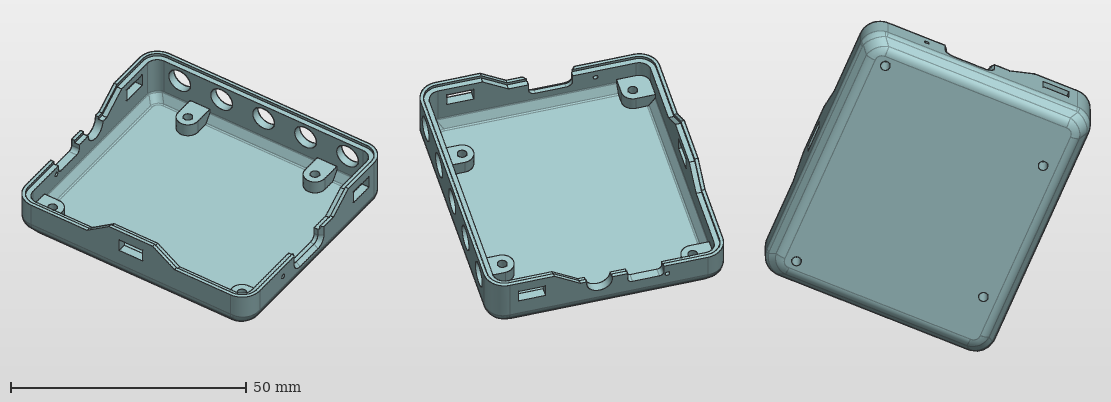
import cadquery as cq
import math

LENGTH = 59.95
WIDTH = 52.65
HEIGHT = 13.7
WALL = 2.0
CORNER_RADIUS = 4.5

BAND_HEIGHT = 3.4
BAND_INSET = 2.5
OUTER_BLEND = 2.5
INNER_BLEND = 0.5

LOW_RIM_Z = 9.8
LIP_WIDTH = 0.8
LIP_DROP = 0.65
FRONT_TAB_TOP = 11.15
FRONT_TAB_BASE = 22.35
SIDE_SLOPE_TOP_Y = 12.0
SIDE_SLOPE_BASE_Y = 6.3

WINDOW_WIDTH = 5.95
WINDOW_HEIGHT = 3.0
WINDOW_Z = 9.65
SIDE_WINDOW_Y = 16.9

PORT_DIAMETER = 5.5
PORT_Z = 9.35
PORT_PITCH = 10.75
PORT_COUNT = 5

JACK_DIAMETER = 5.65
JACK_Y = 2.05
JACK_Z = 9.2
LEFT_NOTCH_FLOOR_Z = 7.0
LEFT_NOTCH_WIDTH = 8.0
LEFT_NOTCH_Y = -8.15
LEFT_NOTCH_RADIUS = 1.0
RIGHT_NOTCH_FLOOR_Z = 6.0
RIGHT_NOTCH_WIDTH = 9.7
RIGHT_NOTCH_Y = -3.0
RIGHT_NOTCH_RADIUS = 1.45
FLARE_DEPTH = 1.0
FLARE_GROWTH = 0.85
PINHOLE_DIAMETER = 1.0
PINHOLE_Y = -12.9
PINHOLE_Z = 7.2

BOSS_RADIUS = 2.5
BOSS_TOP_Z = 5.1
SCREW_DIAMETER = 2.05
BACK_BOSS_X = 16.25
BACK_BOSS_Y = 19.75
FRONT_BOSS_X = 24.2
FRONT_BOSS_Y = -20.0

BAND_SPARE = 1.8

CLEARANCE = 6.0

half_length = LENGTH / 2
half_width = WIDTH / 2


def block(x_range, y_range, z_range):
    """Axis-aligned box filling the given ranges."""
    sizes = [high - low for low, high in (x_range, y_range, z_range)]
    corner = (x_range[0], y_range[0], z_range[0])
    return cq.Workplane("XY").box(*sizes, centered=False).translate(corner)


def tub(length, width, corner_radius, band_height, band_inset, blend):
    """Rounded block whose walls turn into a sloped band around a flat bottom at z = 0."""
    band_run = BAND_SPARE * band_height / band_inset
    frustum = cq.Workplane("XY").box(
        length + 2 * BAND_SPARE,
        width + 2 * BAND_SPARE,
        HEIGHT,
        centered=(True, True, False),
    )
    frustum = frustum.faces("<Z").edges().chamfer(band_height + band_run, band_inset + BAND_SPARE)
    frustum = frustum.edges("not #Z").fillet(corner_radius)
    frustum = frustum.faces("<Z").edges().fillet(blend)

    walls = cq.Workplane("XY").box(length, width, HEIGHT, centered=(True, True, False))
    body = walls.edges("|Z").fillet(corner_radius).intersect(frustum)
    band_top = cq.selectors.BoxSelector(
        (-length, -width, 0.8 * band_height),
        (length, width, 1.1 * band_height),
    )
    return body.edges(band_top).fillet(blend)


def prism_along_x(points, x_range):
    """Prism with a (y, z) outline spanning the given x range."""
    start, end = x_range
    return cq.Workplane("YZ").polyline(points).close().extrude(end - start).translate((start, 0, 0))


def prism_along_y(points, y_range):
    """Prism with an (x, z) outline spanning the given y range."""
    start, end = y_range
    return cq.Workplane("XZ").polyline(points).close().extrude(start - end).translate((0, start, 0))


def cylinder_along_x(diameter, y, z, x_range):
    start, end = x_range
    return cq.Workplane("YZ").center(y, z).circle(diameter / 2).extrude(end - start).translate((start, 0, 0))


def above_rim():
    """Everything above the rim line, which dips along the front and sides."""
    top = HEIGHT + CLEARANCE
    front_inside = WALL - half_width
    space = block((-LENGTH, LENGTH), (-WIDTH, WIDTH), (HEIGHT, top))
    low_sides = [
        (front_inside, LOW_RIM_Z),
        (SIDE_SLOPE_BASE_Y, LOW_RIM_Z),
        (SIDE_SLOPE_TOP_Y, HEIGHT),
        (front_inside, HEIGHT),
    ]
    space = space.union(prism_along_x(low_sides, (-LENGTH, LENGTH)))
    for side in (-1, 1):
        low_front = [
            (side * FRONT_TAB_TOP / 2, HEIGHT),
            (side * FRONT_TAB_BASE / 2, LOW_RIM_Z),
            (side * LENGTH, LOW_RIM_Z),
            (side * LENGTH, HEIGHT),
        ]
        space = space.union(prism_along_y(low_front, (-WIDTH, front_inside)))
    return space


def screw_positions():
    """Centres of the back and front bosses."""
    back = [(side * BACK_BOSS_X, BACK_BOSS_Y) for side in (-1, 1)]
    front = [(side * FRONT_BOSS_X, FRONT_BOSS_Y) for side in (-1, 1)]
    return back + front


def boss_columns():
    """Two round-ended bosses on the back wall and two blocks filling the front corners."""
    columns = cq.Workplane("XY")
    boss_z = (0, BOSS_TOP_Z)
    wall_middle = half_width - WALL / 2
    for side in (-1, 1):
        x = side * BACK_BOSS_X
        arm = block((x - BOSS_RADIUS, x + BOSS_RADIUS), (BACK_BOSS_Y, wall_middle), boss_z)
        end = cq.Workplane("XY").center(x, BACK_BOSS_Y).circle(BOSS_RADIUS).extrude(BOSS_TOP_Z)
        columns = columns.add(arm.union(end))

        inner_x = FRONT_BOSS_X - BOSS_RADIUS
        x_range = sorted((side * inner_x, side * half_length))
        corner = block(x_range, (-half_width, FRONT_BOSS_Y + BOSS_RADIUS), boss_z)
        inner_edge = corner.faces(">Y").edges("|Z").edges(cq.selectors.NearestToPointSelector((0, 0, 0)))
        columns = columns.add(inner_edge.fillet(BOSS_RADIUS))
    return columns.combine()


def wall_windows():
    """Front window and the pair of side windows."""
    z_range = (WINDOW_Z - WINDOW_HEIGHT / 2, WINDOW_Z + WINDOW_HEIGHT / 2)
    span = (-WINDOW_WIDTH / 2, WINDOW_WIDTH / 2)
    front = block(span, (-WIDTH, 0), z_range)
    side_span = (SIDE_WINDOW_Y + span[0], SIDE_WINDOW_Y + span[1])
    return front.union(block((-LENGTH, LENGTH), side_span, z_range))


def back_ports():
    """Evenly spaced round ports through the back wall."""
    ports = cq.Workplane("XZ").center(0, PORT_Z).rarray(PORT_PITCH, 0.6, PORT_COUNT, 1)
    return ports.circle(PORT_DIAMETER / 2).extrude(-WIDTH)


def notch(width, y, floor_z, radius, x_range, growth=0):
    """Open-topped notch with rounded lower corners, enlarged all round by growth."""
    sides = (y - width / 2 - growth, y + width / 2 + growth)
    shape = block(x_range, sides, (floor_z - growth, HEIGHT + CLEARANCE))
    return shape.faces("<Z").edges("|X").fillet(radius + growth)


def left_openings():
    """Jack cut-out and rounded notch in the left wall."""
    x_range = (-LENGTH, 0)
    jack = cylinder_along_x(JACK_DIAMETER, JACK_Y, JACK_Z, x_range)
    jack_sides = (JACK_Y - JACK_DIAMETER / 2, JACK_Y + JACK_DIAMETER / 2)
    jack = jack.union(block(x_range, jack_sides, (JACK_Z, LOW_RIM_Z + CLEARANCE)))
    return jack.union(notch(LEFT_NOTCH_WIDTH, LEFT_NOTCH_Y, LEFT_NOTCH_FLOOR_Z, LEFT_NOTCH_RADIUS, x_range))


def right_opening():
    """Rounded notch in the right wall, flared toward the outside."""
    size = (RIGHT_NOTCH_WIDTH, RIGHT_NOTCH_Y, RIGHT_NOTCH_FLOOR_Z, RIGHT_NOTCH_RADIUS)
    straight = notch(*size, (0, LENGTH))
    inner_face = notch(*size, (half_length - FLARE_DEPTH, LENGTH)).faces("<X").wires().val()
    outer_face = notch(*size, (half_length, LENGTH), FLARE_GROWTH).faces("<X").wires().val()
    flare = cq.Solid.makeLoft([inner_face, outer_face], True)
    return straight.union(cq.Workplane(flare))


outside = tub(LENGTH, WIDTH, CORNER_RADIUS, BAND_HEIGHT, BAND_INSET, OUTER_BLEND)

band_angle = math.atan2(BAND_INSET, BAND_HEIGHT)
inner_band_height = BAND_HEIGHT + WALL * math.tan(band_angle / 2) - WALL
cavity = tub(
    LENGTH - 2 * WALL,
    WIDTH - 2 * WALL,
    CORNER_RADIUS - WALL,
    inner_band_height,
    inner_band_height * math.tan(band_angle),
    INNER_BLEND,
).translate((0, 0, WALL))

result = outside.cut(cavity).union(boss_columns().intersect(outside))

rim_space = above_rim()
ledge_area = cq.Workplane("XY").box(
    LENGTH - 2 * LIP_WIDTH,
    WIDTH - 2 * LIP_WIDTH,
    2 * (HEIGHT + CLEARANCE),
)
ledge_area = ledge_area.edges("|Z").fillet(CORNER_RADIUS - LIP_WIDTH)
result = result.cut(rim_space)
result = result.cut(rim_space.translate((0, 0, -LIP_DROP)).intersect(ledge_area))

result = result.cut(wall_windows())
result = result.cut(back_ports())
result = result.cut(left_openings())
result = result.cut(right_opening())
result = result.cut(cylinder_along_x(PINHOLE_DIAMETER, PINHOLE_Y, PINHOLE_Z, (-LENGTH, LENGTH)))

screw_holes = cq.Workplane("XY").pushPoints(screw_positions()).circle(SCREW_DIAMETER / 2)
result = result.cut(screw_holes.extrude(HEIGHT))